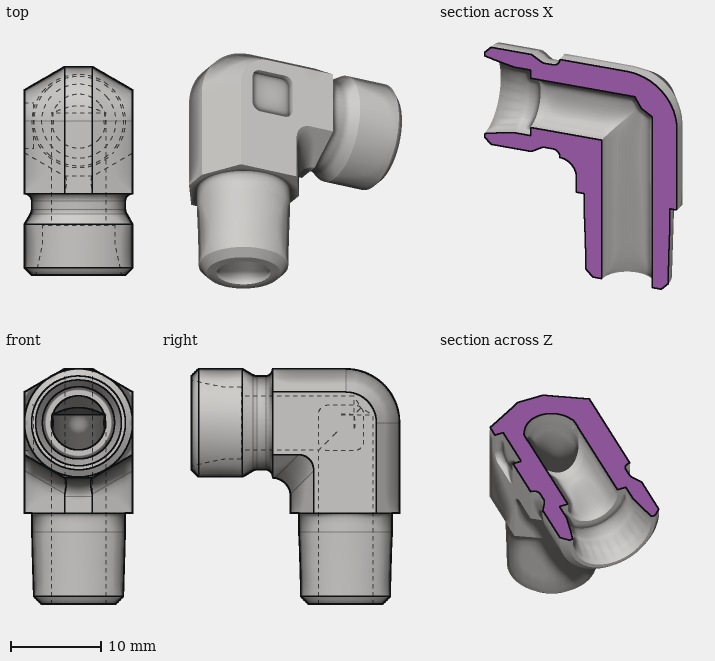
import cadquery as cq
import math


body_width = 12
half_width = body_width / 2
flat_half_width = 1.55
facet_angle = 30
facet_drop = (half_width - flat_half_width) * math.tan(math.radians(facet_angle))
facet_edge = half_width - facet_drop
inner_flat_depth = 6.1
inner_facet_edge = inner_flat_depth - facet_drop
port_leg_length = 8.08
stem_leg_length = 10.0
inner_corner_radius = 2.0
leg_blank_length = 15.64

stem_end = 20.07
stem_radius = 10.35 / 2
stem_tip_radius = 9.93 / 2
stem_neck_length = 2.03
stem_chamfer = 0.85

port_end = 17.07
port_radius = 12 / 2
groove_radius = 10.4 / 2
port_chamfer = port_radius - groove_radius
groove_fillet = 0.75
groove_cone_angle = 30
groove_cone_fillet = 0.96
port_thread_start = 11.45

bore_radius = 6 / 2
bore_overrun = 0.9
drill_half_angle = 59
seat_mouth_radius = 9.5 / 2
seat_radius = 8.0 / 2
seat_depth = 5.5
seat_cone_half_angle = 12

recess_size = 5.0
recess_corner_radius = 1.0
recess_depth = 1.0
recess_center = -0.52


def revolve_about_z(profile):
    """Turn a closed (radius, z) outline about the Z axis."""
    return profile.close().revolve(360, (0, 0, 0), (0, 1, 0))


def stem_axis_to_port_axis(solid):
    """Swing a solid pointing down -Z so that it points along -Y."""
    return solid.rotate((0, 0, 0), (1, 0, 0), -90)


def make_half_leg(inner_center_depth, inner_side_depth):
    """Overlong bar below the origin, for x <= 0, with the given inner face."""
    return (
        cq.Workplane("XY")
        .moveTo(0, half_width)
        .lineTo(-flat_half_width, half_width)
        .lineTo(-half_width, facet_edge)
        .lineTo(-half_width, -inner_side_depth)
        .lineTo(0, -inner_center_depth)
        .close()
        .extrude(-leg_blank_length)
    )


def make_half_elbow(inner_center_depth, inner_side_depth):
    """Two half legs at a right angle, with the corner between them rounded."""
    stem_leg = make_half_leg(inner_center_depth, inner_side_depth)
    port_leg = stem_axis_to_port_axis(stem_leg.mirror("XZ"))
    corner_middle = (
        -half_width / 2,
        -(inner_center_depth + inner_side_depth) / 2,
        -(inner_center_depth + inner_side_depth) / 2,
    )
    elbow = stem_leg.union(port_leg)
    return elbow.edges(cq.selectors.NearestToPointSelector(corner_middle)).fillet(inner_corner_radius)


def make_heel():
    """Quarter-turn of the outer half section that joins the two legs."""
    return (
        cq.Workplane("XY")
        .moveTo(-half_width, 0)
        .lineTo(-half_width, facet_edge)
        .lineTo(-flat_half_width, half_width)
        .lineTo(flat_half_width, half_width)
        .lineTo(half_width, facet_edge)
        .lineTo(half_width, 0)
        .close()
        .revolve(90, (0, 0, 0), (1, 0, 0))
    )


def make_body():
    """The inner corner is the overlap of a flat elbow and a sloped elbow."""
    slope_rise = half_width * math.tan(math.radians(facet_angle))
    flat_elbow = make_half_elbow(inner_flat_depth, inner_flat_depth)
    sloped_elbow = make_half_elbow(inner_facet_edge + slope_rise, inner_facet_edge)
    half = flat_elbow.intersect(sloped_elbow)
    envelope = cq.Workplane("XY").box(
        body_width,
        port_leg_length + half_width,
        stem_leg_length + half_width,
        centered=(True, False, False),
    ).translate((0, -port_leg_length, -stem_leg_length))
    legs = half.union(half.mirror("YZ")).intersect(envelope)
    return legs.union(make_heel()).clean()


def make_stem():
    return revolve_about_z(
        cq.Workplane("XZ")
        .lineTo(stem_radius, 0)
        .lineTo(stem_radius, -stem_leg_length - stem_neck_length)
        .lineTo(stem_tip_radius, stem_chamfer - stem_end)
        .lineTo(stem_tip_radius - stem_chamfer, -stem_end)
        .lineTo(0, -stem_end)
    )


def make_port():
    """Grooved port, with a cove against the body and a rounded groove cone."""
    cone_angle = math.radians(groove_cone_angle)
    cone_length = (port_radius - groove_radius) / math.tan(cone_angle)
    cone_start = port_thread_start - cone_length
    tangent_length = groove_cone_fillet * math.tan(cone_angle / 2)
    arc_start = cone_start - tangent_length
    arc_end_radius = groove_radius + tangent_length * math.sin(cone_angle)
    arc_end = cone_start + tangent_length * math.cos(cone_angle)
    port = revolve_about_z(
        cq.Workplane("XZ")
        .moveTo(0, -port_leg_length)
        .lineTo(groove_radius + groove_fillet, -port_leg_length)
        .radiusArc((groove_radius, -port_leg_length - groove_fillet), -groove_fillet)
        .lineTo(groove_radius, -arc_start)
        .radiusArc((arc_end_radius, -arc_end), -groove_cone_fillet)
        .lineTo(port_radius, -port_thread_start)
        .lineTo(port_radius, port_chamfer - port_end)
        .lineTo(port_radius - port_chamfer, -port_end)
        .lineTo(0, -port_end)
    )
    return stem_axis_to_port_axis(port)


def make_bore(end):
    """Drilled hole that enters at -end and has a conical tip past the origin."""
    tip = bore_overrun + bore_radius / math.tan(math.radians(drill_half_angle))
    return revolve_about_z(
        cq.Workplane("XZ")
        .moveTo(0, -end)
        .lineTo(bore_radius, -end)
        .lineTo(bore_radius, bore_overrun)
        .lineTo(0, tip)
    )


def make_seat():
    """Tube seat in the port mouth: a cone followed by a straight counterbore."""
    cone_depth = (seat_mouth_radius - seat_radius) / math.tan(math.radians(seat_cone_half_angle))
    seat = revolve_about_z(
        cq.Workplane("XZ")
        .moveTo(0, -port_end)
        .lineTo(seat_mouth_radius, -port_end)
        .lineTo(seat_radius, cone_depth - port_end)
        .lineTo(seat_radius, seat_depth - port_end)
        .lineTo(0, seat_depth - port_end)
    )
    return stem_axis_to_port_axis(seat)


def make_recess():
    return (
        cq.Workplane("YZ", origin=(-half_width, recess_center, recess_center))
        .rect(recess_size, recess_size)
        .extrude(recess_depth)
        .edges("|X")
        .fillet(recess_corner_radius)
    )


result = (
    make_body()
    .union(make_stem())
    .union(make_port())
    .cut(make_bore(stem_end))
    .cut(stem_axis_to_port_axis(make_bore(port_end)))
    .cut(make_seat())
    .cut(make_recess())
)